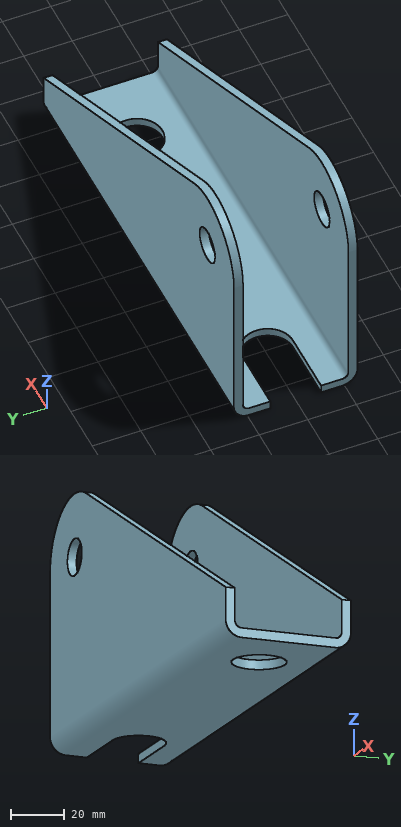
import cadquery as cq
import math

length = 178.0
width = 51.0
height = 95.5
thickness = 3.7
bend_outer_radius = 6.4
bend_inner_radius = bend_outer_radius - thickness

corner_radius = 25.0
low_end_height = 19.0
pivot_diameter = 14.5
pivot_x = corner_radius
pivot_z = height - corner_radius

opening_width = 20.8
slot_end_x = 36.7
base_hole_x = 148.3


def channel():
    """U-shaped channel along X, open at the top, with rounded bends."""
    outer = (
        cq.Workplane("XY")
        .box(length, width, height, centered=(False, True, False))
        .edges("|X and <Z")
        .fillet(bend_outer_radius)
    )
    inner = (
        cq.Workplane("XY", origin=(0, 0, thickness))
        .box(length, width - 2 * thickness, height, centered=(False, True, False))
        .edges("|X and <Z")
        .fillet(bend_inner_radius)
    )
    return outer.cut(inner)


def cheek_profile():
    """Side outline whose sloping edge is tangent to the rounded top corner."""
    run = length - pivot_x
    drop = low_end_height - pivot_z
    tangent_angle = math.atan2(drop, run) + math.acos(corner_radius / math.hypot(run, drop))

    def on_corner(angle):
        return (
            pivot_x + corner_radius * math.cos(angle),
            pivot_z + corner_radius * math.sin(angle),
        )

    middle_angle = (tangent_angle + math.pi) / 2
    return (
        cq.Workplane("XZ")
        .lineTo(length, 0)
        .lineTo(length, low_end_height)
        .lineTo(*on_corner(tangent_angle))
        .threePointArc(on_corner(middle_angle), (0, pivot_z))
        .close()
        .extrude(width / 2, both=True)
    )


def pivot_holes():
    """Cutter through both cheeks, concentric with the rounded corner."""
    return (
        cq.Workplane("XZ")
        .center(pivot_x, pivot_z)
        .circle(pivot_diameter / 2)
        .extrude(width, both=True)
    )


def base_openings():
    """Cutters for the open-ended slot and the round hole in the base."""
    slot_center_x = slot_end_x - opening_width / 2
    base = cq.Workplane("XY")
    slot = base.rect(2 * slot_center_x, opening_width).extrude(thickness)
    slot_end = base.center(slot_center_x, 0).circle(opening_width / 2).extrude(thickness)
    hole = base.center(base_hole_x, 0).circle(opening_width / 2).extrude(thickness)
    return slot.union(slot_end).union(hole)


result = channel().intersect(cheek_profile()).cut(pivot_holes()).cut(base_openings())